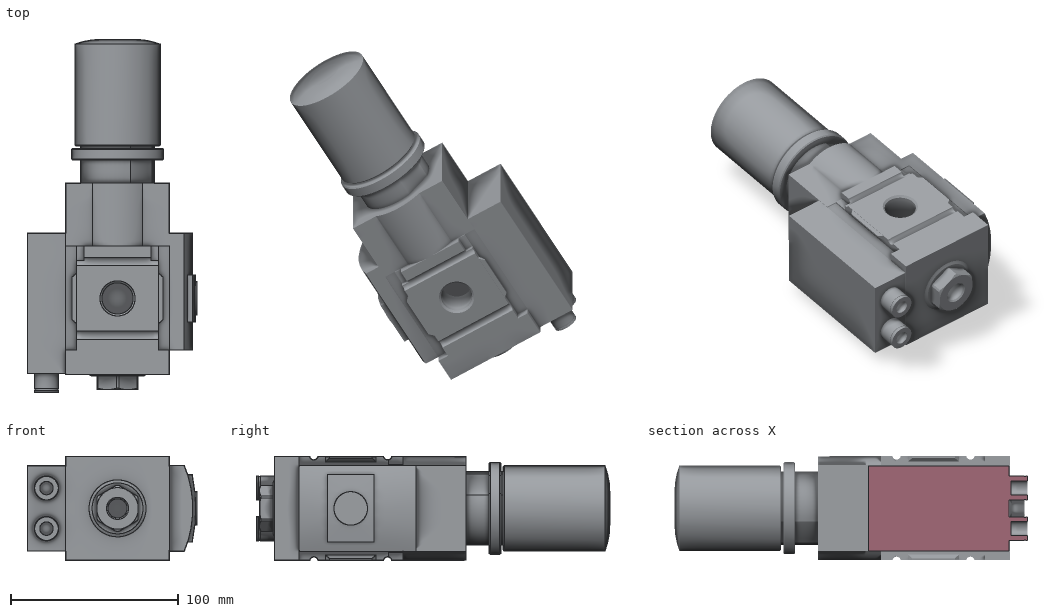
import cadquery as cq
import math


block_width = 62.0
block_height = 62.0
block_front_y = -45.5
block_rear_y = 68.8
half_width = block_width / 2
half_height = block_height / 2

shoulder_z = 25.7
left_top_z = 25.5
side_rear_y = 39.0
left_outer_x = -53.8
left_front_y = -44.9

rear_start_y = 31.3
crown_half_width = 15.0

pad_half_width = 24.4
pocket_front_y = -30.8
pocket_floor_z = 25.2
notch_half_width = 20.0
notch_front_y = 22.5
notch_floor_z = 26.2

groove_y = 22.0
groove_radius = 2.5
groove_depth = 2.0

lug_reach = 2.7
lug_root_length = 30.4
lug_tip_length = 25.4
lug_top_z = half_height - 0.2
lug_root_height = 3.0
lug_tip_height = 0.9

port_diameter = 18.63
port_mouth_diameter = 20.95
port_depth = 20.0

cover_front_y = pocket_front_y
cover_edge_x = 39.8
cover_crown_x = 44.9
plate_half_length = 14.0
plate_half_height = 20.2
plate_edge_x = 44.6
plate_crown_x = 46.6
badge_diameter = 20.0
badge_x = 47.5

neck_diameter = 44.0
neck_flats_distance = 40.2
neck_flat_angle = 45.0
knob_diameter = 51.0
knob_front_y = 90.9
knob_edge_y = 151.7
knob_top_y = 154.6
knob_chamfer = 0.8
knob_flat_diameter = 20.0

nut_diameter = 55.0
nut_front_y = 82.6
nut_rear_y = 89.6
nut_bore = 42.92
nut_chamfer = 0.7

flange_diameter = 34.0
flange_face_diameter = 30.4
flange_thickness = 0.9
hex_across_flats = 24.6
hex_turn = 30.0
hex_turned_diameter = 27.6
hex_front_y = -54.4
hex_chamfer_length = 0.8
hex_face_diameter = 24.8
exhaust_diameter = 11.45
exhaust_mouth_diameter = 13.16
exhaust_depth = 15.0

fitting_diameter = 14.5
fitting_bore = 8.0
fitting_bore_depth = 10.0
fitting_x = -42.4
fitting_z = 12.1
fitting_front_y = -56.1
fitting_lip = 1.2
fitting_groove_width = 1.0
fitting_groove_depth = 0.3


def box(x_start, x_end, y_start, y_end, z_start, z_end):
    """Box between two opposite corners."""
    size = (x_end - x_start, y_end - y_start, z_end - z_start)
    return cq.Workplane().box(*size, centered=False).translate((x_start, y_start, z_start))


def cylinder(diameter, y_start, y_end, x=0.0, z=0.0):
    """Cylinder along Y."""
    plane = cq.Workplane("XZ", origin=(x, y_end, z))
    return plane.circle(diameter / 2).extrude(y_end - y_start)


def countersunk_hole(diameter, mouth_diameter, depth):
    """Blind hole from Z = 0 downward, with a 45 degree countersink."""
    sink = (mouth_diameter - diameter) / 2
    profile = [
        (0, 0),
        (mouth_diameter / 2, 0),
        (diameter / 2, -sink),
        (diameter / 2, -depth),
        (0, -depth),
    ]
    return cq.Workplane("XZ").polyline(profile).close().revolve(360, (0, 0), (0, 1))


def rear_of_block():
    """Rear part of the block: flat shoulders with a crown arc on top and bottom."""
    return (
        cq.Workplane("XZ", origin=(0, block_rear_y, 0))
        .moveTo(-half_width, shoulder_z)
        .lineTo(-crown_half_width, shoulder_z)
        .threePointArc((0, half_height), (crown_half_width, shoulder_z))
        .lineTo(half_width, shoulder_z)
        .lineTo(half_width, -shoulder_z)
        .lineTo(crown_half_width, -shoulder_z)
        .threePointArc((0, -half_height), (-crown_half_width, -shoulder_z))
        .lineTo(-half_width, -shoulder_z)
        .close()
        .extrude(block_rear_y - rear_start_y)
    )


def pad_side_cuts():
    """Pocket and corner notch beside the upper pad, on its right."""
    pocket = box(pad_half_width, half_width, pocket_front_y, rear_start_y, pocket_floor_z, half_height)
    notch = box(notch_half_width, pad_half_width, notch_front_y, rear_start_y, notch_floor_z, half_height)
    return pocket.union(notch)


def pad_lug():
    """Tapered lug on the right side of the upper pad, with a sloping underside."""
    root_centre_z = lug_top_z - lug_root_height / 2
    tip_centre_z = lug_top_z - lug_tip_height / 2
    return (
        cq.Workplane("YZ", origin=(pad_half_width, 0, root_centre_z))
        .rect(lug_root_length, lug_root_height)
        .workplane(offset=lug_reach)
        .center(0, tip_centre_z - root_centre_z)
        .rect(lug_tip_length, lug_tip_height)
        .loft(ruled=True)
    )


def pad_grooves():
    """Two round grooves across the upper pad."""
    centre_z = half_height - groove_depth + groove_radius
    return (
        cq.Workplane("YZ", origin=(-pad_half_width, 0, 0))
        .pushPoints([(-groove_y, centre_z), (groove_y, centre_z)])
        .circle(groove_radius)
        .extrude(2 * pad_half_width)
    )


def on_both_faces(feature):
    """The feature and its mirror image on the bottom face."""
    return feature.union(feature.mirror("XY"))


def on_four_corners(feature):
    """The feature on the right and left, at the top and bottom."""
    return on_both_faces(feature.union(feature.mirror("YZ")))


def main_block():
    front = box(-half_width, half_width, block_front_y, rear_start_y, -half_height, half_height)
    port = countersunk_hole(port_diameter, port_mouth_diameter, port_depth)
    return (
        front.cut(on_four_corners(pad_side_cuts()))
        .cut(on_both_faces(pad_grooves()))
        .cut(on_both_faces(port.translate((0, 0, half_height))))
        .union(on_four_corners(pad_lug()))
        .union(rear_of_block())
    )


def bowed_plate(x_start, edge_x, crown_x, half_plate_height, y_start, y_end):
    """Plate extruded along Y, with an outer face that bows outward."""
    return (
        cq.Workplane("XZ", origin=(0, y_end, 0))
        .moveTo(x_start, -half_plate_height)
        .lineTo(edge_x, -half_plate_height)
        .threePointArc((crown_x, 0), (edge_x, half_plate_height))
        .lineTo(x_start, half_plate_height)
        .close()
        .extrude(y_end - y_start)
    )


def gauge_cover():
    cover = bowed_plate(half_width, cover_edge_x, cover_crown_x, shoulder_z, cover_front_y, side_rear_y)
    plate = bowed_plate(
        cover_edge_x, plate_edge_x, plate_crown_x, plate_half_height, -plate_half_length, plate_half_length
    )
    badge = (
        cq.Workplane("YZ", origin=(cover_edge_x, 0, 0))
        .circle(badge_diameter / 2)
        .extrude(badge_x - cover_edge_x)
    )
    return cover.union(plate).union(badge)


def neck():
    """Neck with a reduced seat for the nut and two opposite flats at 45 degrees."""
    flats = (
        cq.Workplane("XZ", origin=(0, knob_front_y, 0))
        .rect(neck_flats_distance, 2 * neck_diameter)
        .extrude(knob_front_y - block_rear_y)
        .rotate((0, 0, 0), (0, 1, 0), -neck_flat_angle)
    )
    full = cylinder(neck_diameter, block_rear_y, nut_front_y)
    seat = cylinder(nut_bore, nut_front_y, nut_rear_y)
    end = cylinder(neck_diameter, nut_rear_y, knob_front_y)
    return full.union(seat).union(end).intersect(flats)


def knob():
    """Turned knob with a chamfered front edge and a flat end blended by an arc."""
    radius = knob_diameter / 2
    flat_radius = knob_flat_diameter / 2
    rise = knob_top_y - knob_edge_y
    run = radius - flat_radius
    arc_radius = (run**2 + rise**2) / (2 * rise)
    mid_r = flat_radius + run / 2
    mid_y = knob_top_y - arc_radius + math.sqrt(arc_radius**2 - (run / 2) ** 2)
    return (
        cq.Workplane("XY")
        .moveTo(0, knob_front_y)
        .lineTo(radius - knob_chamfer, knob_front_y)
        .lineTo(radius, knob_front_y + knob_chamfer)
        .lineTo(radius, knob_edge_y)
        .threePointArc((mid_r, mid_y), (flat_radius, knob_top_y))
        .lineTo(0, knob_top_y)
        .close()
        .revolve(360, (0, 0), (0, 1))
    )


def exhaust_plug():
    """Conical flange and turned hexagon, corners pointing up and down."""
    flange = (
        cq.Workplane("XZ", origin=(0, block_front_y, 0))
        .circle(flange_diameter / 2)
        .workplane(offset=flange_thickness)
        .circle(flange_face_diameter / 2)
        .loft()
    )
    hex_length = block_front_y - hex_front_y
    across_corners = hex_across_flats / math.cos(math.radians(30))
    hexagon = (
        cq.Workplane("XZ", origin=(0, block_front_y, 0))
        .polygon(6, across_corners)
        .extrude(hex_length)
        .rotate((0, 0, 0), (0, 1, 0), hex_turn)
    )
    turned = cylinder(hex_turned_diameter, hex_front_y + hex_chamfer_length, block_front_y)
    turned_end = (
        cq.Workplane("XZ", origin=(0, hex_front_y + hex_chamfer_length, 0))
        .circle(hex_turned_diameter / 2)
        .workplane(offset=hex_chamfer_length)
        .circle(hex_face_diameter / 2)
        .loft()
    )
    return flange.union(hexagon.intersect(turned.union(turned_end)))


def exhaust_hole():
    hole = countersunk_hole(exhaust_diameter, exhaust_mouth_diameter, exhaust_depth)
    return hole.rotate((0, 0, 0), (1, 0, 0), 90).translate((0, hex_front_y, 0))


def fitting(z):
    """Push-in fitting with a shallow groove behind its lip."""
    groove_front_y = fitting_front_y + fitting_lip
    groove_rear_y = groove_front_y + fitting_groove_width
    core_diameter = fitting_diameter - 2 * fitting_groove_depth
    lip = cylinder(fitting_diameter, fitting_front_y, groove_front_y, fitting_x, z)
    core = cylinder(core_diameter, groove_front_y, groove_rear_y, fitting_x, z)
    sleeve = cylinder(fitting_diameter, groove_rear_y, left_front_y, fitting_x, z)
    bore = cylinder(fitting_bore, fitting_front_y, fitting_front_y + fitting_bore_depth, fitting_x, z)
    return lip.union(core).union(sleeve).cut(bore)


def left_module():
    module = box(left_outer_x, -half_width, left_front_y, side_rear_y, -left_top_z, left_top_z)
    for z in (-fitting_z, fitting_z):
        module = module.union(fitting(z))
    return module


def regulator_body():
    return (
        main_block()
        .union(left_module())
        .union(gauge_cover())
        .union(neck())
        .union(knob())
        .union(exhaust_plug())
        .cut(exhaust_hole())
    )


def panel_nut():
    """Ring on the seat of the neck, clear of the neck's flats."""
    ring = cylinder(nut_diameter, nut_front_y, nut_rear_y)
    bore = cylinder(nut_bore, nut_front_y, nut_rear_y)
    return ring.faces("<Y or >Y").chamfer(nut_chamfer).cut(bore)


regulator = regulator_body()
nut = panel_nut()

result = cq.Compound.makeCompound([regulator.solids().val(), nut.solids().val()])